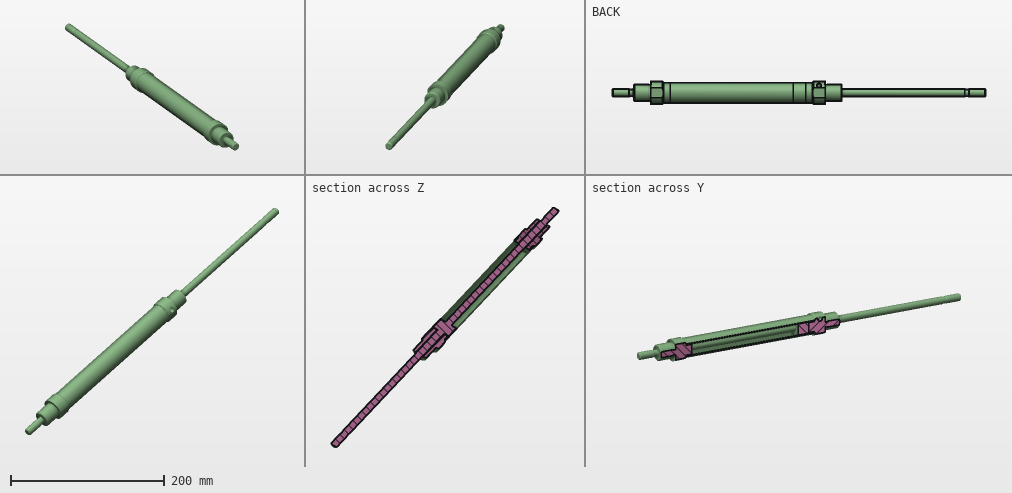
import cadquery as cq

total_length = 488.0
front_cap_start = 188.0
rear_cap_end = 459.5

nose_length = 22.0
nose_diameter = 22.0
nose_chamfer = 1.0
relief_length = 2.5
relief_diameter = 21.5
head_length = 16.0
head_diameter = 30.0
head_chamfer = 1.0
collar_length = 1.0
spigot_length = 8.5

port_diameter = 6.0
port_height = 9.5
port_depth = 7.5

tube_outer_diameter = 27.0
tube_bore = 25.0

rod_diameter = 10.2
rod_chamfer = 1.2
rod_thread_length = 22.5
rod_neck_length = 5.0
rod_neck_diameter = 9.5
piston_length = 16.5

nose_radius = nose_diameter / 2
relief_radius = relief_diameter / 2
head_radius = head_diameter / 2
tube_radius = tube_outer_diameter / 2
flat_offset = tube_radius
bore_radius = tube_bore / 2
rod_radius = rod_diameter / 2
rod_neck_radius = rod_neck_diameter / 2
head_end = nose_length + head_length
cap_body_length = head_end + collar_length
tube_start = front_cap_start + cap_body_length
tube_end = rear_cap_end - cap_body_length


def revolve_about_x(profile_points):
    """Solid of revolution about X from a closed outline of (x, radius) points."""
    profile = cq.Workplane("XZ").polyline(profile_points).close()
    return profile.revolve(axisStart=(0, 0, 0), axisEnd=(1, 0, 0))


def cylinder_along_x(start, length, diameter):
    return cq.Workplane("YZ", origin=(start, 0, 0)).circle(diameter / 2).extrude(length)


def make_cap():
    """End cap with its nose face at X = 0 and its spigot toward +X."""
    relief_start = nose_length - relief_length
    spigot_end = cap_body_length + spigot_length
    cap = revolve_about_x([
        (0, rod_radius),
        (0, nose_radius - nose_chamfer),
        (nose_chamfer, nose_radius),
        (relief_start - nose_chamfer, nose_radius),
        (relief_start, relief_radius),
        (nose_length, relief_radius),
        (nose_length, head_radius),
        (head_end - head_chamfer, head_radius),
        (head_end, head_radius - head_chamfer),
        (head_end, tube_radius),
        (cap_body_length, tube_radius),
        (cap_body_length, bore_radius),
        (spigot_end, bore_radius),
        (spigot_end, rod_radius),
    ])
    beyond_flat = cq.Workplane("XY").box(
        head_end, head_radius, head_diameter, centered=(False, False, True)
    ).translate((0, flat_offset, 0))
    return cap.cut(beyond_flat)


def make_front_cap():
    port_x = nose_length + head_length / 2
    port = (
        cq.Workplane("XZ", origin=(port_x, flat_offset, port_height))
        .circle(port_diameter / 2)
        .extrude(port_depth)
    )
    return make_cap().cut(port).translate((front_cap_start, 0, 0))


def make_rear_cap():
    return make_cap().mirror("YZ").translate((rear_cap_end, 0, 0))


def make_tube():
    length = tube_end - tube_start
    outside = cylinder_along_x(tube_start, length, tube_outer_diameter)
    return outside.cut(cylinder_along_x(tube_start, length, tube_bore))


def rod_end_profile():
    """(x, radius) points of a threaded rod end, from its tip at X = 0 inward."""
    return [
        (0, 0),
        (0, rod_radius - rod_chamfer),
        (rod_chamfer, rod_radius),
        (rod_thread_length - rod_chamfer, rod_radius),
        (rod_thread_length, rod_neck_radius),
        (rod_thread_length + rod_neck_length, rod_neck_radius),
        (rod_thread_length + rod_neck_length, rod_radius),
    ]


def make_piston_rod():
    """Through rod with a threaded end on both sides and a piston against the front cap."""
    piston_start = tube_start + spigot_length
    piston_end = piston_start + piston_length
    piston_profile = [
        (piston_start, rod_radius),
        (piston_start, bore_radius),
        (piston_end, bore_radius),
        (piston_end, rod_radius),
    ]
    rear_end = [(total_length - x, radius) for x, radius in reversed(rod_end_profile())]
    return revolve_about_x(rod_end_profile() + piston_profile + rear_end)


front_cap = make_front_cap()
rear_cap = make_rear_cap()
tube = make_tube()
piston_rod = make_piston_rod()

result = cq.Compound.makeCompound([front_cap.val(), rear_cap.val(), tube.val(), piston_rod.val()])